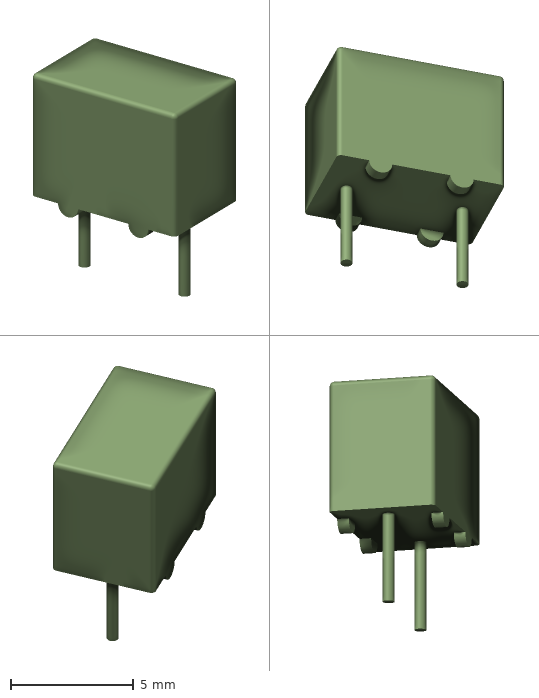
import cadquery as cq

total_height = 9.2
housing_length = 7.2
housing_width = 4.5
housing_height = 5.5
edge_radius = 0.2

pin_diameter = 0.5
pin_spacing = 5.0
pin_length = total_height - housing_height

foot_radius = 0.5
foot_thickness = 0.5
foot_spacing = 3.505


def make_housing():
    """Block with rounded upright and top edges and a sharp underside."""
    block = cq.Workplane("XY").box(
        housing_length, housing_width, housing_height, centered=(True, True, False)
    )
    return block.edges("|Z or >Z").fillet(edge_radius)


def make_pin(x):
    """Round lead hanging from the underside of the housing."""
    return cq.Workplane("XY").center(x, 0).circle(pin_diameter / 2).extrude(-pin_length)


def make_foot(x, y):
    """Half-round standoff, its flat side on the housing and its axis along Y."""
    return (
        cq.Workplane("XZ", origin=(x, y, 0))
        .moveTo(-foot_radius, 0)
        .threePointArc((0, -foot_radius), (foot_radius, 0))
        .close()
        .extrude(foot_thickness / 2, both=True)
    )


housing = make_housing()

pins = [make_pin(side * pin_spacing / 2) for side in (-1, 1)]

foot_offset_y = (housing_width - foot_thickness) / 2
feet = [
    make_foot(side_x * foot_spacing / 2, side_y * foot_offset_y)
    for side_x in (-1, 1)
    for side_y in (-1, 1)
]

result = cq.Compound.makeCompound(
    [housing.val(), *[pin.val() for pin in pins], *[foot.val() for foot in feet]]
)